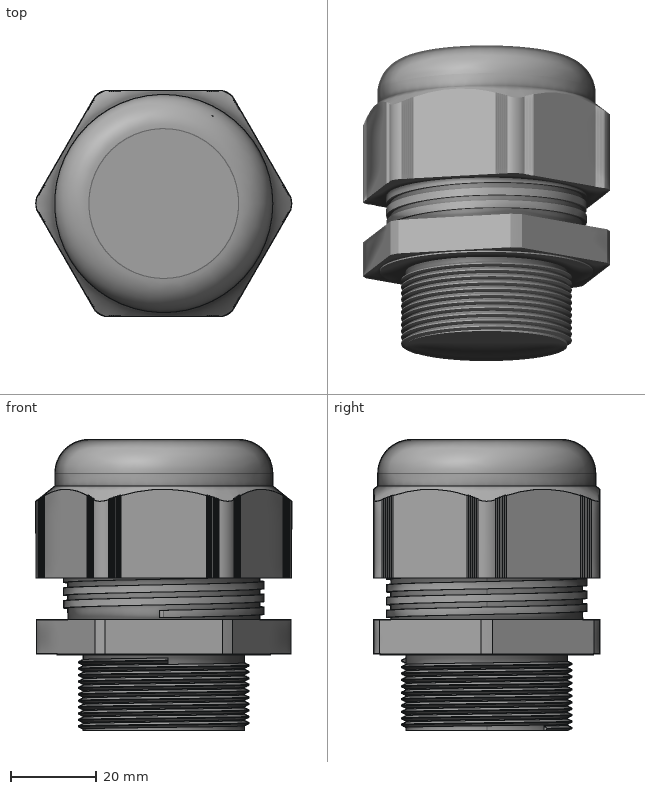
import cadquery as cq
import math


collar_bottom_z = 18.0
collar_top_z = 26.0
nut_bottom_z = 35.7
nut_shoulder_z = 57.3
total_height = 68.2

across_flats = 53.0
apothem = across_flats / 2
side_count = 6
side_angle = 360 / side_count
corner_distance = apothem / math.cos(math.radians(side_angle / 2))
half_side = apothem * math.tan(math.radians(side_angle / 2))
collar_corner_radius = 29.84

seal_face_diameter = 50.0
seal_face_height = 0.3

dome_diameter = 51.1
dome_fillet = 8.0
nut_corner_radius = 30.0
nut_corner_fillet = 4.0
nut_chamfer_drop = 3.6

flute_pitch = 0.5
flute_depth = flute_pitch / 2
flutes_per_group = 6
flat_half_length = half_side - nut_corner_fillet * math.tan(math.radians(side_angle / 2))
flute_group_length = flutes_per_group * flute_pitch

entry_core_diameter = 37.87
entry_thread_diameter = 40.0
entry_pitch = 1.5
entry_ridge_base = 1.25
entry_ridge_crest = 0.2
entry_start_angle = 45.0
entry_start_z = 0.44
entry_turns = 10.633

body_core_diameter = 45.0
body_thread_diameter = 47.0
body_pitch = 3.0
body_ridge_width = 1.7
body_start_angle = 267.5
body_start_z = 27.3
body_turns = 3.5
body_ridge_end_radius = 0.9

ridge_root_depth = 0.1


def cylinder(diameter, bottom_z, top_z):
    return cq.Workplane("XY").workplane(offset=bottom_z).circle(diameter / 2).extrude(top_z - bottom_z)


def thread_ridge(core_diameter, outer_diameter, base, crest, pitch, turns, start_z, start_angle):
    """Right-handed helical ridge with a trapezoidal section."""
    core_radius = core_diameter / 2
    root_radius = core_radius - ridge_root_depth
    outer_radius = outer_diameter / 2
    flank_run = (base - crest) / 2 / (outer_radius - core_radius)
    half_root = base / 2 + flank_run * ridge_root_depth
    section = (
        cq.Workplane("XZ")
        .moveTo(root_radius, -half_root)
        .lineTo(outer_radius, -crest / 2)
        .lineTo(outer_radius, crest / 2)
        .lineTo(root_radius, half_root)
        .close()
    )
    helix = cq.Wire.makeHelix(pitch, pitch * turns, core_radius)
    ridge = section.sweep(cq.Workplane(obj=helix), isFrenet=True)
    return ridge.rotate((0, 0, 0), (0, 0, 1), start_angle).translate((0, 0, start_z))


def entry():
    core = cylinder(entry_core_diameter, 0, collar_bottom_z)
    ridge = thread_ridge(
        entry_core_diameter, entry_thread_diameter, entry_ridge_base, entry_ridge_crest,
        entry_pitch, entry_turns, entry_start_z, entry_start_angle,
    )
    thread_envelope = cylinder(entry_thread_diameter + entry_pitch, 0, collar_bottom_z)
    return core.union(ridge.intersect(thread_envelope))


def collar():
    height = collar_top_z - collar_bottom_z
    hexagon = (
        cq.Workplane("XY")
        .workplane(offset=collar_bottom_z)
        .polygon(side_count, 2 * corner_distance)
        .extrude(height)
    )
    trimmed = hexagon.intersect(cylinder(2 * collar_corner_radius, collar_bottom_z, collar_top_z))
    seal_face = cylinder(seal_face_diameter, collar_bottom_z - seal_face_height, collar_bottom_z)
    return trimmed.union(seal_face)


def body_neck():
    core = cylinder(body_core_diameter, collar_top_z, nut_shoulder_z)
    ridge = thread_ridge(
        body_core_diameter, body_thread_diameter, body_ridge_width, body_ridge_width,
        body_pitch, body_turns, body_start_z, body_start_angle,
    )
    start_angle = math.radians(body_start_angle)
    start_edge = cq.NearestToPointSelector((
        body_thread_diameter / 2 * math.cos(start_angle),
        body_thread_diameter / 2 * math.sin(start_angle),
        body_start_z,
    ))
    return core.union(ridge.edges(start_edge).fillet(body_ridge_end_radius))


def nut_outline():
    """Hexagon with rounded corners and fluted flats, drawn counterclockwise side by side."""
    corner_centre = corner_distance - nut_corner_fillet / math.cos(math.radians(side_angle / 2))
    corner_apex = corner_centre + nut_corner_fillet
    plain_end = flat_half_length - flute_group_length

    def on_side(side, along, depth=0.0):
        normal = math.radians(side_angle * (side + 0.5))
        radial = apothem - depth
        return (
            radial * math.cos(normal) - along * math.sin(normal),
            radial * math.sin(normal) + along * math.cos(normal),
        )

    def add_flutes(path, side, group_start):
        for index in range(flutes_per_group):
            start = group_start + index * flute_pitch
            path = path.lineTo(*on_side(side, start + flute_pitch / 2, flute_depth))
            path = path.lineTo(*on_side(side, start + flute_pitch))
        return path

    outline = cq.Workplane("XY").workplane(offset=nut_bottom_z).moveTo(*on_side(0, -flat_half_length))
    for side in range(side_count):
        outline = add_flutes(outline, side, -flat_half_length)
        outline = outline.lineTo(*on_side(side, plain_end))
        outline = add_flutes(outline, side, plain_end)
        corner_angle = math.radians(side_angle * (side + 1))
        apex = (corner_apex * math.cos(corner_angle), corner_apex * math.sin(corner_angle))
        outline = outline.threePointArc(apex, on_side(side + 1, -flat_half_length))
    return outline.close()


def dome_nut():
    prism = nut_outline().extrude(nut_shoulder_z - nut_bottom_z)
    chamfer_envelope = (
        cq.Workplane("XZ")
        .moveTo(0, nut_bottom_z)
        .lineTo(nut_corner_radius, nut_bottom_z)
        .lineTo(nut_corner_radius, nut_shoulder_z - nut_chamfer_drop)
        .lineTo(dome_diameter / 2, nut_shoulder_z)
        .lineTo(0, nut_shoulder_z)
        .close()
        .revolve(360, (0, 0, 0), (0, 1, 0))
    )
    dome = cylinder(dome_diameter, nut_shoulder_z, total_height).faces(">Z").edges().fillet(dome_fillet)
    return prism.intersect(chamfer_envelope).union(dome)


result = entry().union(collar()).union(body_neck()).union(dome_nut())